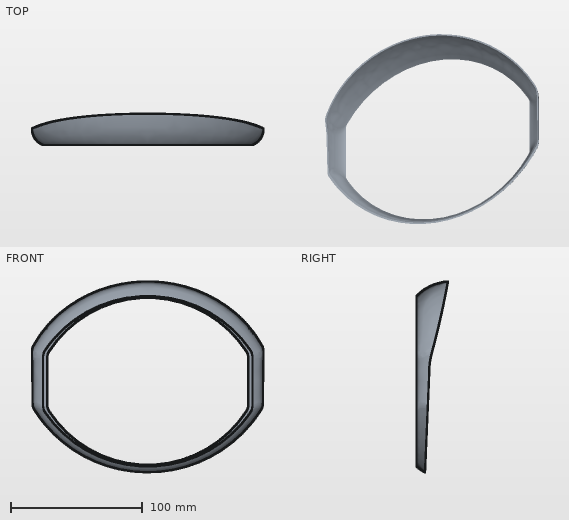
import cadquery as cq
import math

depth = 24.0
level_count = 9

rim_half_height = 64.7
full_half_height_top = 75.85
full_half_height_bottom = 73.25
crown_profile_radius = 36.3
rim_half_width = 79.3
full_half_width = 87.99
side_profile_depth = 12.0
side_profile_radius = 13.8
rim_arch_centre_offset = 29.6
rear_arch_centre_offset = 30.8
outer_corner_radius = 8.0

wall = 1.0
opening_half_height = 63.3
opening_half_width = 76.1
opening_arch_centre_offset = 25.8
inner_corner_radius = 8.0

rear_top = (depth, full_half_height_top)
rear_upper_middle = (18.1, 47.0)
rear_bend_start = (12.0, 22.5)
rear_bend_middle = (10.4, 15.5)
rear_bend_end = (9.8, 6.0)
rear_bottom = (6.6, -69.16)

margin = 20.0


def bulge(y, start, end, end_depth, radius):
    """Value at depth y on an outward-bulging arc from (0, start) to (end_depth, end)."""
    if y >= end_depth:
        return end
    rise = end - start
    chord = math.hypot(end_depth, rise)
    centre_distance = math.sqrt(radius**2 - (chord / 2) ** 2)
    centre_y = end_depth / 2 + centre_distance * rise / chord
    centre_value = (start + end) / 2 - centre_distance * end_depth / chord
    return centre_value + math.sqrt(radius**2 - (y - centre_y) ** 2)


def half_outline(y, half_width, height, centre_offset, corner_radius, end):
    """Corner, arch and corner of the outline at depth y; end is 1 for the top and -1 for the bottom."""
    arch_radius = height + centre_offset
    corner_x = half_width - corner_radius
    reach = math.sqrt((arch_radius - corner_radius) ** 2 - corner_x**2)
    corner_z = reach - centre_offset
    turn = math.atan2(reach, corner_x)

    def corner_points(side):
        return [
            cq.Vector(
                side * (corner_x + corner_radius * math.cos(angle)),
                y,
                end * (corner_z + corner_radius * math.sin(angle)),
            )
            for angle in (0, turn / 2, turn)
        ]

    first_corner = corner_points(end)
    last_corner = corner_points(-end)[::-1]
    crown = cq.Vector(0, y, end * height)
    return [
        cq.Edge.makeThreePointArc(*first_corner),
        cq.Edge.makeThreePointArc(first_corner[-1], crown, last_corner[0]),
        cq.Edge.makeThreePointArc(*last_corner),
    ]


def section(y, half_width, top_height, bottom_height, centre_offset, corner_radius):
    """Closed outline at depth y: two arches with rounded corners, joined by straight sides."""
    top = half_outline(y, half_width, top_height, centre_offset, corner_radius, 1)
    bottom = half_outline(y, half_width, bottom_height, centre_offset, corner_radius, -1)
    left_side = cq.Edge.makeLine(top[-1].endPoint(), bottom[0].startPoint())
    right_side = cq.Edge.makeLine(bottom[-1].endPoint(), top[0].startPoint())
    return cq.Wire.assembleEdges([*top, left_side, *bottom, right_side])


def skin(rim_width, rim_height, inset, rim_offset, corner_radius):
    """Flaring solid that starts from the given rim half sizes; inset pulls its rear inward."""
    sections = []
    for level in range(level_count):
        y = depth * (level / (level_count - 1)) ** 2
        width = bulge(y, rim_width, full_half_width - inset, side_profile_depth, side_profile_radius)
        top = bulge(y, rim_height, full_half_height_top - inset, depth, crown_profile_radius)
        bottom = bulge(y, rim_height, full_half_height_bottom - inset, depth, crown_profile_radius)
        flare = min(y / side_profile_depth, 1)
        centre_offset = rim_offset + flare * (rear_arch_centre_offset - rim_offset)
        sections.append(section(y, width, top, bottom, centre_offset, corner_radius))
    return cq.Workplane(cq.Solid.makeLoft(sections))


def rear_cut():
    """Everything behind the rear edge, across the full width."""
    low_z = rear_bottom[1] - margin
    high_z = rear_top[1] + margin
    rear_y = depth + margin
    return (
        cq.Workplane("YZ")
        .moveTo(*rear_top)
        .threePointArc(rear_upper_middle, rear_bend_start)
        .threePointArc(rear_bend_middle, rear_bend_end)
        .lineTo(*rear_bottom)
        .lineTo(rear_bottom[0], low_z)
        .lineTo(rear_y, low_z)
        .lineTo(rear_y, high_z)
        .lineTo(depth, high_z)
        .close()
        .extrude(full_half_width + margin, both=True)
    )


outer_skin = skin(rim_half_width, rim_half_height, 0, rim_arch_centre_offset, outer_corner_radius)
inner_skin = skin(
    opening_half_width,
    opening_half_height,
    wall,
    opening_arch_centre_offset,
    inner_corner_radius,
)
result = outer_skin.cut(inner_skin).cut(rear_cut())